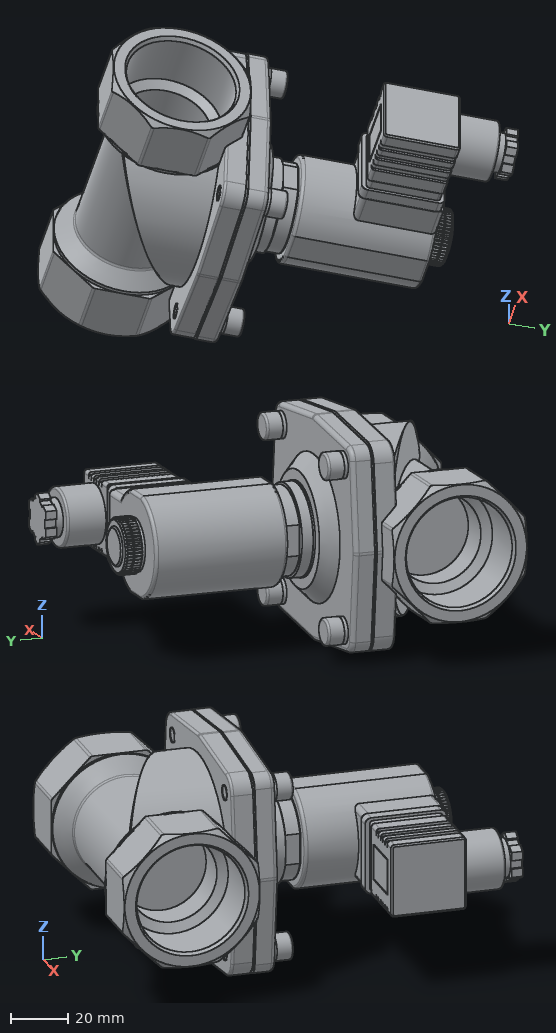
import cadquery as cq
import math


pick_margin = 0.1

pipe_half_length = 52.5
octagon_flats = 50.0
octagon_inner_x = 31.3
octagon_edge_radius = 1.5
end_face_radius = 24.8
end_chamfer_length = 2.2
collar_radius = 25.0
collar_inner_x = 30.0
pipe_radius = 19.0
cone_inner_x = 24.4
cone_fillet = 1.3
mouth_radius = 20.8
mouth_length = 1.5
thread_radius = 19.9
thread_depth = 20.7
port_radius = 16.35
taper_length = 2.0
port_depth = 35.0

bowl_radius = 34.0
bowl_slant = 30.0
bowl_slant_y = 0.2
bowl_edge_cone = 70.0

flange_slope = 6.0
flange_apex = 41.27
flange_apex_radius = 5.0
body_flange_bottom = 19.0
body_flange_top = 27.0
body_flange_corner = 7.25
body_flange_edge = 0.9
cover_bottom = 27.9
cover_top = 35.5
cover_apex = 41.03
cover_corner = 5.3
cover_edge = 1.7
joint_inset = 0.8

screw_pitch = 60.0
shank_diameter = 5.5
shank_tip_y = body_flange_bottom + 0.3
washer_diameter = 9.9
washer_top = 36.9
head_diameter = 10.0
head_top = 43.0
head_edge = 0.8

dome_top = 41.1
dome_top_radius = 21.3
dome_base_radius = dome_top_radius + dome_top - cover_top
seat_radius = 17.3
seat_top = 41.8
collar_ring_radius = 17.0
collar_ring_top = 45.9
neck_diameter = 32.4
neck_flats = 30.4
neck_chamfer = 0.4

coil_bottom = 52.0
coil_top = 102.1
coil_diameter = 38.95
coil_flats = 37.5
coil_edge = 1.2

knob_base_radius = 9.75
knob_bottom = 103.3
knob_radius = 10.3
knob_top = 109.5
knob_chamfer = 0.9
knob_crown_radius = 7.2
knob_crown_top = 110.2
knob_crown_chamfer = 0.6
knurl_count = 48
knurl_depth = 0.5
knob_ring_y = 106.4
knob_ring_width = 0.5
knob_ring_depth = 0.4

socket_end = 25.1
socket_bottom = 71.9
socket_half_z = 13.8
socket_edge = 2.0
seal_end = 29.6
seal_bottom = 71.0
seal_top = 101.1
seal_half_z = 14.2
seal_edge = 2.3
plug_neck_end = 33.5
plug_neck_bottom = 72.7
plug_neck_top = 99.5
plug_neck_half_z = 13.1
plug_end = 56.5
plug_bottom = 72.1
plug_top = 99.8
plug_half_z = 13.5
plug_edge = 1.3
plug_end_edge = 0.6
rib_groove_spans = ((38.9, 41.5), (44.2, 46.4), (49.1, 51.6))
rib_groove_depth = 1.0
label_start_x = 35.8
label_end_x = 51.9
label_height = 13.0
label_depth = 0.2

gland_x = 45.4
gland_radius = 10.9
gland_top = 114.4
gland_edge = 0.8
gland_neck_radius = 7.1
gland_neck_top = 117.3
gland_cap_top = 121.45
gland_cap_flats = 16.2
gland_cap_notch = 0.9


def plane_y(y, x=0.0):
    """Workplane facing +Y, centred on the point (x, y, 0)."""
    return cq.Workplane(cq.Plane(origin=(x, y, 0), xDir=(1, 0, 0), normal=(0, 1, 0)))


def plane_x(x):
    """Workplane facing +X, with local axes Y and Z."""
    return cq.Workplane(cq.Plane(origin=(x, 0, 0), xDir=(0, 1, 0), normal=(1, 0, 0)))


def disc_y(radius, bottom, top, x=0.0):
    """Cylinder along Y."""
    return plane_y(bottom, x).circle(radius).extrude(top - bottom)


def block(x_span, y_span, half_z):
    """Box over the given X and Y spans, centred in Z."""
    length = x_span[1] - x_span[0]
    height = y_span[1] - y_span[0]
    corner = (x_span[0], y_span[0], -half_z)
    return cq.Workplane("XY").box(length, height, 2 * half_z, centered=False).translate(corner)


def round_upright_edge(plate, x, z, radius):
    """Fillet the edge parallel to Y that passes nearest to the given X and Z."""
    y = plate.val().Center().y
    edge = plate.edges("|Y").edges(cq.selectors.NearestToPointSelector((x, y, z)))
    return edge.fillet(radius)


def flange_plate(apex, corner_radius, bottom, top):
    """Four-sided plate whose sides bulge to a blunt apex in the middle."""
    corner = apex / (1 + math.tan(math.radians(flange_slope)))
    points = [
        (0, apex), (corner, corner), (apex, 0), (corner, -corner),
        (0, -apex), (-corner, -corner), (-apex, 0), (-corner, corner),
    ]
    plate = plane_y(bottom).polyline(points).close().extrude(top - bottom)
    for sx in (-1, 1):
        for sz in (-1, 1):
            plate = round_upright_edge(plate, sx * corner, sz * corner, corner_radius)
    for x, z in ((apex, 0), (-apex, 0), (0, apex), (0, -apex)):
        plate = round_upright_edge(plate, x, z, flange_apex_radius)
    return plate


def screw_points():
    """Places of the four screws on a plane facing +Y."""
    half = screw_pitch / 2
    return [(x, z) for x in (-half, half) for z in (-half, half)]



def pipe_end():
    """Octagonal end on the +X side with a chamfered face and a cone down to the pipe."""
    corner_diameter = octagon_flats / math.cos(math.pi / 8)
    octagon = (
        plane_x(octagon_inner_x)
        .transformed(rotate=(0, 0, 180 / 8))
        .polygon(8, corner_diameter)
        .extrude(pipe_half_length - octagon_inner_x)
        .edges("|X").fillet(octagon_edge_radius)
    )
    envelope_radius = end_face_radius + end_chamfer_length
    envelope = (
        plane_x(octagon_inner_x)
        .circle(envelope_radius)
        .extrude(pipe_half_length - octagon_inner_x)
        .faces(">X").chamfer(end_chamfer_length)
    )
    cone_profile = [
        (0, 0), (0, pipe_radius), (cone_inner_x, pipe_radius), (collar_inner_x, collar_radius),
        (octagon_inner_x, collar_radius), (octagon_inner_x, 0),
    ]
    cone = (
        cq.Workplane("XY").polyline(cone_profile).close()
        .revolve(360, (0, 0, 0), (1, 0, 0))
    )
    root_low = (cone_inner_x - pick_margin, -collar_radius, -collar_radius)
    root_high = (cone_inner_x + pick_margin, collar_radius, collar_radius)
    cone = cone.edges("%CIRCLE").edges(cq.selectors.BoxSelector(root_low, root_high)).fillet(cone_fillet)
    return octagon.intersect(envelope).union(cone)


def pipe_bore():
    """Blind stepped bore of the +X end, tapering from the thread to the port."""
    thread_end = pipe_half_length - thread_depth
    profile = [
        (pipe_half_length - port_depth, 0),
        (pipe_half_length - port_depth, port_radius),
        (thread_end - taper_length, port_radius),
        (thread_end, thread_radius),
        (pipe_half_length - mouth_length, thread_radius),
        (pipe_half_length, mouth_radius),
        (pipe_half_length, 0),
    ]
    return cq.Workplane("XY").polyline(profile).close().revolve(360, (0, 0, 0), (1, 0, 0))


def bowl():
    """Cylinder under the flange, cut by a slanted face whose edge is a coned circle."""
    cylinder = disc_y(bowl_radius, -bowl_radius, body_flange_bottom)
    height = 2 * bowl_radius
    top_radius = bowl_radius + height * math.tan(math.radians(bowl_edge_cone))
    cone = (
        cq.Workplane("XY")
        .polyline([(0, 0), (bowl_radius, 0), (top_radius, height), (0, height)]).close()
        .revolve(360, (0, 0, 0), (0, 1, 0))
        .rotate((0, 0, 0), (0, 0, 1), -bowl_slant)
        .translate((0, bowl_slant_y, 0))
    )
    return cylinder.intersect(cone)


def make_valve_body():
    body = flange_plate(flange_apex, body_flange_corner, body_flange_bottom, body_flange_top)
    body = body.faces("<Y").edges().fillet(body_flange_edge)
    body = body.union(bowl())
    end = pipe_end()
    bore = pipe_bore()
    body = body.union(end).union(end.mirror("YZ"))
    body = body.cut(bore).cut(bore.mirror("YZ"))
    holes = (
        plane_y(body_flange_bottom).pushPoints(screw_points())
        .circle(shank_diameter / 2).extrude(body_flange_top - body_flange_bottom)
    )
    return body.cut(holes)



def screws():
    """Four cap screws with washers, reaching down through the body flange."""
    def rods(diameter, bottom, top):
        return (
            plane_y(bottom).pushPoints(screw_points())
            .circle(diameter / 2).extrude(top - bottom)
        )

    heads = rods(head_diameter, washer_top, head_top).faces(">Y").edges().fillet(head_edge)
    washers = rods(washer_diameter, cover_top, washer_top)
    shanks = rods(shank_diameter, shank_tip_y, cover_top)
    return heads.union(washers).union(shanks)


def neck():
    """Dome, seat, collar ring and the round neck with two flats."""
    profile = [
        (0, cover_top), (dome_base_radius, cover_top), (dome_top_radius, dome_top),
        (seat_radius, dome_top), (seat_radius, seat_top), (collar_ring_radius, seat_top),
        (collar_ring_radius, collar_ring_top), (0, collar_ring_top),
    ]
    dome = cq.Workplane("XY").polyline(profile).close().revolve(360, (0, 0, 0), (0, 1, 0))
    flats = block((-neck_flats / 2, neck_flats / 2), (collar_ring_top, coil_bottom), neck_diameter)
    post = (
        disc_y(neck_diameter / 2, collar_ring_top, coil_bottom)
        .intersect(flats)
        .faces("<Y or >Y").chamfer(neck_chamfer)
    )
    return dome.union(post)


def make_cover():
    cover = flange_plate(cover_apex, cover_corner, cover_bottom, cover_top)
    cover = cover.faces(">Y").edges().fillet(cover_edge)
    joint = flange_plate(cover_apex - joint_inset, cover_corner, body_flange_top, cover_bottom)
    return cover.union(joint).union(neck()).union(screws())



def coil_can():
    """Round can with two flats on the Z sides."""
    flats = block((-coil_diameter, coil_diameter), (coil_bottom, coil_top), coil_flats / 2)
    can = disc_y(coil_diameter / 2, coil_bottom, coil_top).intersect(flats)
    return can.faces("<Y or >Y").edges().fillet(coil_edge)


def knob():
    """Knurled knob with chamfered rims and a fine ring groove half way up."""
    points = []
    for i in range(2 * knurl_count):
        radius = knob_radius - knurl_depth * (i % 2)
        angle = math.pi * i / knurl_count
        points.append((radius * math.cos(angle), radius * math.sin(angle)))
    grip = plane_y(knob_bottom).polyline(points).close().extrude(knob_top - knob_bottom)
    ring_low = knob_ring_y - knob_ring_width / 2
    ring_high = knob_ring_y + knob_ring_width / 2
    ring_radius = knob_radius - knob_ring_depth
    envelope_profile = [
        (0, knob_bottom), (knob_radius, knob_bottom),
        (knob_radius, ring_low), (ring_radius, ring_low),
        (ring_radius, ring_high), (knob_radius, ring_high),
        (knob_radius, knob_top - knob_chamfer), (knob_radius - knob_chamfer, knob_top), (0, knob_top),
    ]
    envelope = (
        cq.Workplane("XY").polyline(envelope_profile).close()
        .revolve(360, (0, 0, 0), (0, 1, 0))
    )
    crown = (
        disc_y(knob_crown_radius, knob_top, knob_crown_top)
        .faces(">Y").chamfer(knob_crown_chamfer)
    )
    base = disc_y(knob_base_radius, coil_top, knob_bottom)
    return grip.intersect(envelope).union(crown).union(base)


def plug():
    """Ribbed plug with grooves on both Z sides and a label recess on its -Y face."""
    body = block((plug_neck_end, plug_end), (plug_bottom, plug_top), plug_half_z)
    body = body.edges("|X").fillet(plug_edge).faces(">X").edges().chamfer(plug_end_edge)
    core_half_z = plug_half_z - rib_groove_depth
    for span in rib_groove_spans:
        slot = block(span, (plug_bottom, plug_top), plug_half_z)
        core = block(span, (plug_bottom, plug_top), core_half_z).edges("|X").fillet(plug_edge)
        slot = slot.cut(core)
        body = body.cut(slot)
    label = block((label_start_x, label_end_x), (plug_bottom, plug_bottom + label_depth), label_height / 2)
    body = body.cut(label)
    plug_neck = block((seal_end, plug_neck_end), (plug_neck_bottom, plug_neck_top), plug_neck_half_z)
    return body.union(plug_neck.edges("|X").fillet(plug_edge))


def gland():
    """Cable gland: round housing, neck and a hexagonal cap notched on each face."""
    housing = disc_y(gland_radius, plug_top, gland_top, gland_x)
    housing = housing.faces(">Y").edges().fillet(gland_edge)
    gland_neck = disc_y(gland_neck_radius, gland_top, gland_neck_top, gland_x)
    side = gland_cap_flats / math.sqrt(3)
    cap_height = gland_cap_top - gland_neck_top
    cap = (
        plane_y(gland_neck_top, gland_x)
        .transformed(rotate=(0, 0, 30))
        .polygon(6, 2 * side)
        .extrude(cap_height)
    )
    notches = (
        plane_y(gland_neck_top, gland_x)
        .polarArray(gland_cap_flats / 2, 0, 360, 6)
        .rect(2 * gland_cap_notch, side / 3)
        .extrude(cap_height)
    )
    return housing.union(gland_neck).union(cap.cut(notches))


def make_coil():
    socket = block((0, socket_end), (socket_bottom, coil_top), socket_half_z)
    socket = socket.edges("|X").fillet(socket_edge)
    seal = block((socket_end, seal_end), (seal_bottom, seal_top), seal_half_z)
    seal = seal.edges("|X").fillet(seal_edge)
    coil = coil_can().union(socket).union(seal)
    return coil.union(plug()).union(gland()).union(knob())


valve_body = make_valve_body()
cover = make_cover()
coil = make_coil()

result = cq.Compound.makeCompound([valve_body.val(), cover.val(), coil.val()])